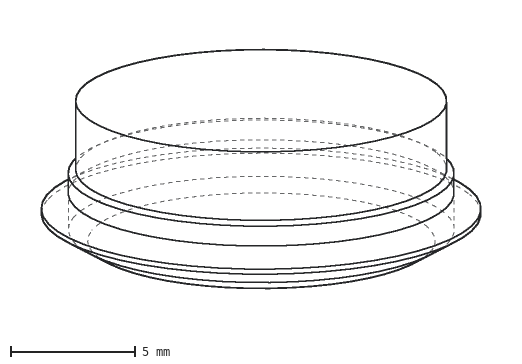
import cadquery as cq

total_height = 5.85
rim_radius = 17.7 / 2

base_radius = 7.0
band_radius = 15.54 / 2
top_radius = 14.94 / 2
band_top = 2.83
shoulder_height = 0.16

rim_bottom = 1.13
rim_height = 0.21
rim_top = rim_bottom + rim_height

underside_slope = rim_bottom / (rim_radius - base_radius)
seam_height = underside_slope * (band_radius - base_radius)

ring_top = rim_top + (rim_bottom - seam_height)


def revolve_profile(points):
    """Revolve a closed (radius, height) outline around the Z axis."""
    return cq.Workplane("XZ").polyline(points).close().revolve(360, (0, 0, 0), (0, 1, 0))


def make_core():
    return revolve_profile([
        (0, 0),
        (base_radius, 0),
        (band_radius, seam_height),
        (band_radius, band_top),
        (top_radius, band_top + shoulder_height),
        (top_radius, total_height),
        (0, total_height),
    ])


def make_ring():
    return revolve_profile([
        (band_radius, seam_height),
        (rim_radius, rim_bottom),
        (rim_radius, rim_top),
        (band_radius, ring_top),
    ])


core = make_core()
ring = make_ring()

result = cq.Compound.makeCompound([core.val(), ring.val()])